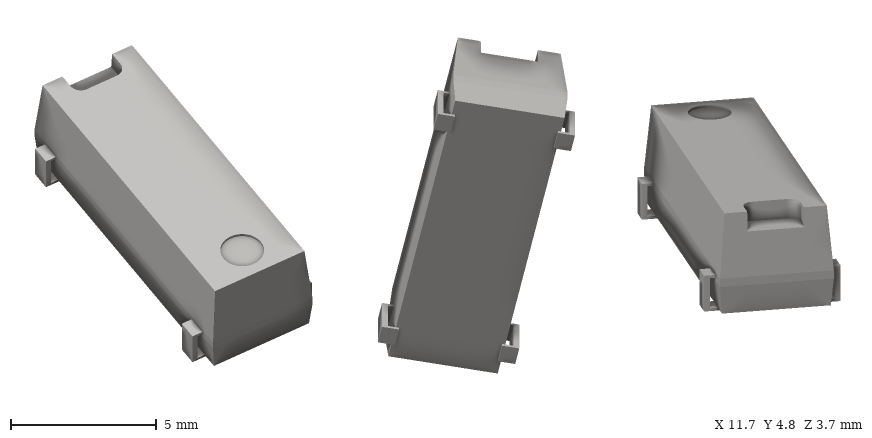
import cadquery as cq
import math

body_length = 11.7
body_width = 4.0
overall_height = 3.7
standoff = 0.1
band_bottom = 1.1
band_top = 1.4
draft_angle = 5.0

notch_width = 2.0
notch_depth = 0.7
notch_reach = 1.15
notch_radius = 0.4

marker_diameter = 1.5
marker_depth = 0.1
marker_x = 4.5

lead_pitch = 9.6
lead_width = 0.7
lead_span = 4.8
lead_top = 1.3
lead_wall = 0.2
lead_sheet = 0.1
foot_length = 0.6
lead_embed = 0.2


def make_body():
    """Band with an upper and a lower block, both narrowing away from it."""
    band = (
        cq.Workplane("XY")
        .workplane(offset=band_bottom)
        .rect(body_length, body_width)
        .extrude(band_top - band_bottom)
    )
    upper = (
        cq.Workplane("XY")
        .workplane(offset=band_top)
        .rect(body_length, body_width)
        .extrude(overall_height - band_top, taper=draft_angle)
    )
    lower_height = band_bottom - standoff
    lower_inset = lower_height * math.tan(math.radians(draft_angle))
    lower = (
        cq.Workplane("XY")
        .workplane(offset=standoff)
        .rect(body_length - 2 * lower_inset, body_width - 2 * lower_inset)
        .workplane(offset=lower_height)
        .rect(body_length, body_width)
        .loft(ruled=True)
    )
    return band.union(upper).union(lower)


def make_notch_cutter():
    """Pocket open to the top and to the -X end, with rounded inner corners."""
    return (
        cq.Workplane("XY")
        .workplane(offset=overall_height - notch_depth)
        .center((notch_reach - body_length) / 2, 0)
        .rect(notch_reach, notch_width)
        .extrude(notch_depth)
        .edges("|Z and >X")
        .fillet(notch_radius)
    )


def make_marker_cutter():
    """Shallow round recess near the +X end."""
    return (
        cq.Workplane("XY")
        .workplane(offset=overall_height - marker_depth)
        .center(marker_x, 0)
        .circle(marker_diameter / 2)
        .extrude(marker_depth)
    )


def make_lead(x_center, side):
    """Lead leaving the band, turning down and folding back under the body."""
    outer = lead_span / 2
    inner = outer - lead_wall
    arm_root = body_width / 2 - lead_embed
    foot_tip = outer - foot_length
    profile = [
        (side * arm_root, lead_top),
        (side * outer, lead_top),
        (side * outer, 0),
        (side * foot_tip, 0),
        (side * foot_tip, lead_sheet),
        (side * inner, lead_sheet),
        (side * inner, lead_top - lead_sheet),
        (side * arm_root, lead_top - lead_sheet),
    ]
    return (
        cq.Workplane("YZ")
        .workplane(offset=x_center - lead_width / 2)
        .polyline(profile)
        .close()
        .extrude(lead_width)
    )


result = make_body().cut(make_notch_cutter()).cut(make_marker_cutter())
for lead_x in (-lead_pitch / 2, lead_pitch / 2):
    for lead_side in (-1, 1):
        result = result.union(make_lead(lead_x, lead_side))